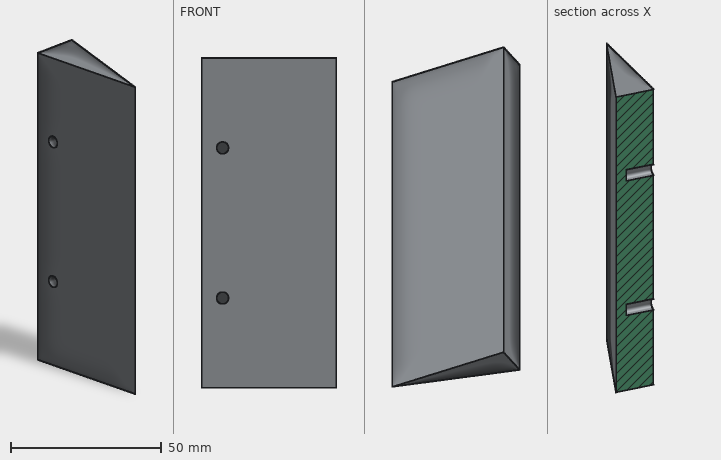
import cadquery as cq

width = 45.0
thickness = 16.4
height = 110.0

hole_diameter = 4.0
hole_depth = 10.0
hole_edge_distance = 7.0
hole_spacing = 50.0


def make_wedge():
    """Right-triangle prism, thick at X = 0 and tapering to an edge at +X."""
    profile = [(0, 0), (width, 0), (0, thickness)]
    return cq.Workplane("XY").polyline(profile).close().extrude(height)


def make_hole(center_z):
    """Cutter for one blind hole, running from the front face toward +Y."""
    start = cq.Vector(hole_edge_distance, 0, center_z)
    return cq.Solid.makeCylinder(hole_diameter / 2, hole_depth, start, cq.Vector(0, 1, 0))


result = make_wedge()
for side in (-1, 1):
    result = result.cut(make_hole(height / 2 + side * hole_spacing / 2))